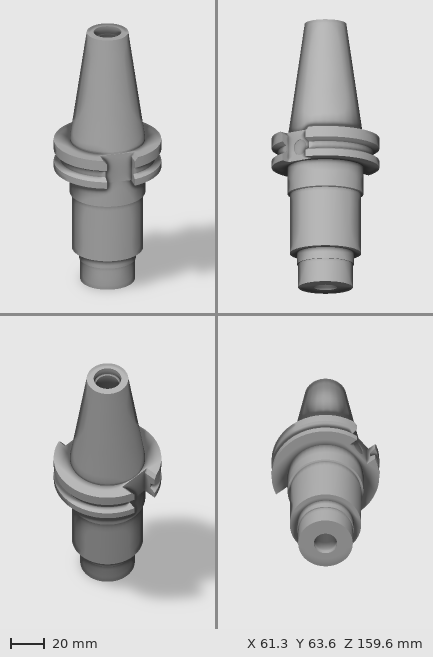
import cadquery as cq

total_length = 159.6

nose_radius = 16.1
nose_top = 13.9
neck_radius = 16.8
neck_top = 20.6
body_radius = 21.0
body_top = 56.0
collar_radius = 22.4
collar_flare_height = 0.5

flange_radius = 31.8
flange_bottom = 72.5
flange_top = 90.4
groove_radius = 28.3
groove_bottom = 76.6
groove_floor_bottom = 78.4
groove_floor_top = 82.0
groove_top = 84.0

taper_base = 91.6
taper_base_radius = 22.2
taper_top_radius = 12.3

bore_radius = 6.9
counterbore_radius = 8.1
counterbore_depth = 4.8

slot_width = 17.0
near_slot_floor = 24.7
far_slot_floor = 22.4
slot_chamfer_width = 2.0
slot_chamfer_height = 2.2

recess_radius = 4.6
recess_height = 80.3
recess_depth = 0.5


def make_body():
    """Revolve the outer profile about Z."""
    profile = [
        (0, 0),
        (nose_radius, 0),
        (nose_radius, nose_top),
        (neck_radius, nose_top),
        (neck_radius, neck_top),
        (body_radius, neck_top),
        (body_radius, body_top),
        (collar_radius, body_top + collar_flare_height),
        (collar_radius, flange_bottom),
        (flange_radius, flange_bottom),
        (flange_radius, groove_bottom),
        (groove_radius, groove_floor_bottom),
        (groove_radius, groove_floor_top),
        (flange_radius, groove_top),
        (flange_radius, flange_top),
        (taper_base_radius, flange_top),
        (taper_base_radius, taper_base),
        (taper_top_radius, total_length),
        (0, total_length),
    ]
    return cq.Workplane("XZ").polyline(profile).close().revolve(360, (0, 0), (0, 1))


def make_bore():
    """Through bore with a counterbore at the top."""
    bore = cq.Workplane("XY").circle(bore_radius).extrude(total_length)
    counterbore = (
        cq.Workplane("XY")
        .workplane(offset=total_length - counterbore_depth)
        .circle(counterbore_radius)
        .extrude(counterbore_depth)
    )
    return bore.union(counterbore)


def make_slot(side, floor_distance):
    """Drive slot with flared upper edges; side is -1 or +1 along X."""
    half_width = slot_width / 2
    flared_half_width = half_width + slot_chamfer_width
    flare_start = flange_top - slot_chamfer_height
    outline = [
        (-half_width, flange_bottom),
        (half_width, flange_bottom),
        (half_width, flare_start),
        (flared_half_width, flange_top),
        (-flared_half_width, flange_top),
        (-half_width, flare_start),
    ]
    return (
        cq.Workplane("YZ")
        .workplane(offset=side * floor_distance)
        .polyline(outline)
        .close()
        .extrude(side * (flange_radius - floor_distance))
    )


def make_recess():
    """Shallow round recess sunk inward from the -X slot floor."""
    return (
        cq.Workplane("YZ")
        .workplane(offset=-near_slot_floor)
        .center(0, recess_height)
        .circle(recess_radius)
        .extrude(recess_depth)
    )


result = (
    make_body()
    .cut(make_bore())
    .cut(make_slot(-1, near_slot_floor))
    .cut(make_slot(1, far_slot_floor))
    .cut(make_recess())
)